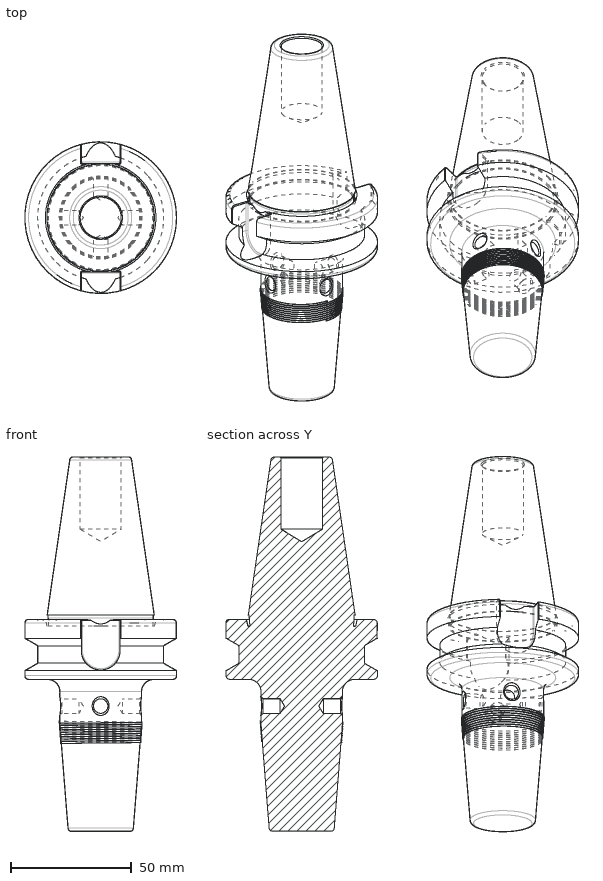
import cadquery as cq
import math

taper_top = 65.4
neck_top = -0.3
flange_top = -2.0
flange_bottom = -27.0
nose_bottom = -90.0

gauge_radius = 44.45 / 2
taper_per_length = 7 / 24 / 2
taper_top_radius = gauge_radius - taper_top * taper_per_length
taper_base_radius = gauge_radius - neck_top * taper_per_length
end_fillet = 1.5

neck_radius = 21.9
relief_top = -1.4
relief_bottom = -4.8
relief_root_radius = 21.6
relief_floor_radius = 22.3
relief_mouth_radius = 22.95

flange_radius = 31.5
flange_fillet = 1.6
groove_radius = 26.15
groove_centre = -16.6
groove_mouth = 13.4
groove_flank_angle = 30.0
groove_half_mouth = groove_mouth / 2
groove_flank_height = (flange_radius - groove_radius) * math.tan(math.radians(groove_flank_angle))
groove_half_floor = groove_half_mouth - groove_flank_height

nose_radius = 17.0
nose_fillet = 5.0
nose_end_radius = 13.5
cone_angle = 4.5
cone_slope = math.tan(math.radians(cone_angle))
cone_top = nose_bottom + (nose_radius - nose_end_radius) / cone_slope

slot_width = 16.1
slot_floor = 22.5
slot_bottom = -23.0
slot_corner_radius = 0.5
slot_edge_chamfer = 0.4

bore_radius = 8.5
bore_depth = 30.0
bore_chamfer = 0.5
drill_point_angle = 118.0

screw_hole_radius = 3.0
screw_hole_depth = 8.0
screw_hole_level = -38.0
countersink_radius = 3.9
screw_hole_count = 4

helix_pitch = 0.95
helix_turns = 9
helix_bottom = -53.15
helix_groove_width = 0.85
helix_groove_depth = 0.2
helix_overhang = 0.2

cutter_clearance = 1.0
selection_margin = 0.1


def drilled_hole(radius, depth, mouth_radius):
    """Hole along -Z from the origin: 45 degree mouth chamfer, bore and conical drill point."""
    point_length = radius / math.tan(math.radians(drill_point_angle / 2))
    outer_radius = mouth_radius + cutter_clearance
    return (
        cq.Workplane("XZ")
        .moveTo(0, cutter_clearance)
        .lineTo(outer_radius, cutter_clearance)
        .lineTo(radius, radius - mouth_radius)
        .lineTo(radius, -depth)
        .lineTo(0, -depth - point_length)
        .close()
        .revolve(360, (0, 0, 0), (0, 1, 0))
    )


def turned_body():
    """Taper, flange and nose, all round about the Z axis, from one revolved profile."""
    profile = (
        cq.Workplane("XZ")
        .moveTo(0, taper_top)
        .lineTo(taper_top_radius, taper_top)
        .lineTo(taper_base_radius, neck_top)
        .lineTo(neck_radius, neck_top)
        .lineTo(neck_radius, relief_top)
        .lineTo(relief_root_radius, relief_bottom)
        .lineTo(relief_floor_radius, relief_bottom)
        .lineTo(relief_mouth_radius, flange_top)
        .lineTo(flange_radius, flange_top)
        .lineTo(flange_radius, groove_centre + groove_half_mouth)
        .lineTo(groove_radius, groove_centre + groove_half_floor)
        .lineTo(groove_radius, groove_centre - groove_half_floor)
        .lineTo(flange_radius, groove_centre - groove_half_mouth)
        .lineTo(flange_radius, flange_bottom)
        .lineTo(nose_radius + nose_fillet, flange_bottom)
        .radiusArc((nose_radius, flange_bottom - nose_fillet), -nose_fillet)
        .lineTo(nose_radius, cone_top)
        .lineTo(nose_end_radius, nose_bottom)
        .lineTo(0, nose_bottom)
        .close()
    )
    body = profile.revolve(360, (0, 0, 0), (0, 1, 0))
    body = body.faces(">Z or <Z").edges().fillet(end_fillet)
    reach = flange_radius + selection_margin
    for level in (flange_top, flange_bottom):
        rim = cq.selectors.BoxSelector(
            (-reach, -reach, level - selection_margin),
            (reach, reach, level + selection_margin),
            boundingbox=True,
        )
        body = body.edges(rim).edges(cq.selectors.RadiusNthSelector(-1)).fillet(flange_fillet)
    return body


def drive_slot():
    """Round-bottomed slot cutter on the -Y side, open upwards and outwards."""
    half_width = slot_width / 2
    reach = flange_radius - slot_floor + cutter_clearance
    cutter = (
        cq.Workplane("XZ", origin=(0, -slot_floor, 0))
        .moveTo(-half_width, 0)
        .lineTo(-half_width, slot_bottom + half_width)
        .radiusArc((half_width, slot_bottom + half_width), -half_width)
        .lineTo(half_width, 0)
        .close()
        .extrude(reach)
    )
    return cutter.faces(">Y").edges("not >Z").fillet(slot_corner_radius)


def chamfer_slot_edges(body):
    """Break the straight slot edges on the top face and rim of the upper flange."""
    half_width = slot_width / 2 + selection_margin
    reach = flange_radius + selection_margin
    upper_flange = cq.selectors.BoxSelector(
        (-half_width, -reach, groove_centre + groove_half_mouth - selection_margin),
        (half_width, reach, flange_top + selection_margin),
        boundingbox=True,
    )
    return body.edges(upper_flange).edges("not %HYPERBOLA").chamfer(slot_edge_chamfer)


def screw_hole(angle):
    """Radial blind hole into the nose at the given angle from +X."""
    hole = drilled_hole(screw_hole_radius, screw_hole_depth, countersink_radius)
    hole = hole.rotate((0, 0, 0), (0, 1, 0), 90)
    hole = hole.translate((nose_radius, 0, screw_hole_level))
    return hole.rotate((0, 0, 0), (0, 0, 1), angle)


def helical_groove():
    """Round-bottomed cutter winding up the nose cone, starting on the -X side."""
    start_radius = nose_radius - (cone_top - helix_bottom) * cone_slope
    height = helix_pitch * helix_turns
    half_width = helix_groove_width / 2
    path = cq.Workplane(cq.Wire.makeHelix(helix_pitch, height, start_radius, angle=cone_angle))
    cutter = (
        cq.Workplane("XZ")
        .moveTo(start_radius, half_width)
        .threePointArc((start_radius - helix_groove_depth, 0), (start_radius, -half_width))
        .lineTo(start_radius + helix_overhang, -half_width)
        .lineTo(start_radius + helix_overhang, half_width)
        .close()
        .sweep(path, isFrenet=True)
    )
    return cutter.rotate((0, 0, 0), (0, 0, 1), 180).translate((0, 0, helix_bottom))


result = turned_body()
for slot_angle in (0, 180):
    result = result.cut(drive_slot().rotate((0, 0, 0), (0, 0, 1), slot_angle))
result = chamfer_slot_edges(result)

bore = drilled_hole(bore_radius, bore_depth, bore_radius + bore_chamfer)
result = result.cut(bore.translate((0, 0, taper_top)))
for index in range(screw_hole_count):
    result = result.cut(screw_hole(index * 360 / screw_hole_count))
result = result.cut(helical_groove())